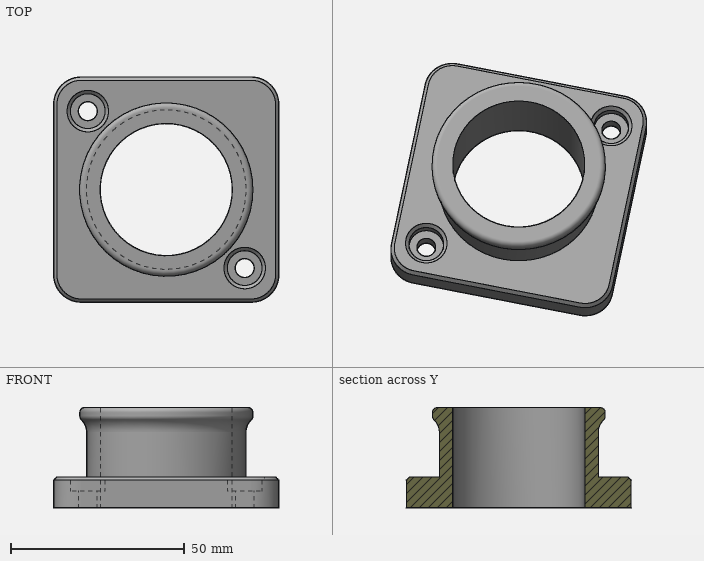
import cadquery as cq
import math

flange_side = 65.0
flange_height = 9.0
corner_radius = 8.0
flange_chamfer = 1.0

total_height = 29.0
bore_diameter = 38.0
neck_radius = 46.0 / 2
lip_radius = 50.0 / 2
lip_round = 1.5
lip_band_height = 1.05
neck_fillet = 5.0

screw_offset = 22.6
screw_diameter = 5.4
counterbore_diameter = 10.0
counterbore_depth = 4.0
counterbore_chamfer = 1.0


def make_flange():
    return (
        cq.Workplane("XY")
        .rect(flange_side, flange_side)
        .extrude(flange_height)
        .edges("|Z")
        .fillet(corner_radius)
        .faces(">Z")
        .chamfer(flange_chamfer)
    )


def point_on_arc(center, radius, angle):
    return (center[0] + radius * math.cos(angle), center[1] + radius * math.sin(angle))


def make_neck():
    sweep = math.acos(1 - (lip_radius - neck_radius) / (lip_round + neck_fillet))
    band_top = total_height - lip_round
    band_bottom = band_top - lip_band_height
    lip_center_radius = lip_radius - lip_round
    upper_center = (lip_center_radius, band_top)
    lower_center = (lip_center_radius, band_bottom)
    neck_top = band_bottom - (lip_round + neck_fillet) * math.sin(sweep)
    fillet_center = (neck_radius + neck_fillet, neck_top)

    profile = (
        cq.Workplane("XZ")
        .lineTo(neck_radius, 0)
        .lineTo(neck_radius, neck_top)
        .threePointArc(
            point_on_arc(fillet_center, neck_fillet, math.pi - sweep / 2),
            point_on_arc(fillet_center, neck_fillet, math.pi - sweep),
        )
        .threePointArc(
            point_on_arc(lower_center, lip_round, -sweep / 2),
            (lip_radius, band_bottom),
        )
        .lineTo(lip_radius, band_top)
        .threePointArc(
            point_on_arc(upper_center, lip_round, math.pi / 4),
            (lip_center_radius, total_height),
        )
        .lineTo(0, total_height)
        .close()
    )
    return profile.revolve(360, (0, 0, 0), (0, 1, 0))


def make_screw_cutter():
    screw_radius = screw_diameter / 2
    counterbore_radius = counterbore_diameter / 2
    counterbore_floor = flange_height - counterbore_depth
    profile = (
        cq.Workplane("XZ")
        .lineTo(screw_radius, 0)
        .lineTo(screw_radius, counterbore_floor)
        .lineTo(counterbore_radius, counterbore_floor)
        .lineTo(counterbore_radius, flange_height - counterbore_chamfer)
        .lineTo(counterbore_radius + counterbore_chamfer, flange_height)
        .lineTo(0, flange_height)
        .close()
    )
    return profile.revolve(360, (0, 0, 0), (0, 1, 0))


bore = cq.Workplane("XY").circle(bore_diameter / 2).extrude(total_height)
result = make_flange().union(make_neck()).cut(bore)
for side in (-1, 1):
    result = result.cut(make_screw_cutter().translate((side * screw_offset, -side * screw_offset, 0)))